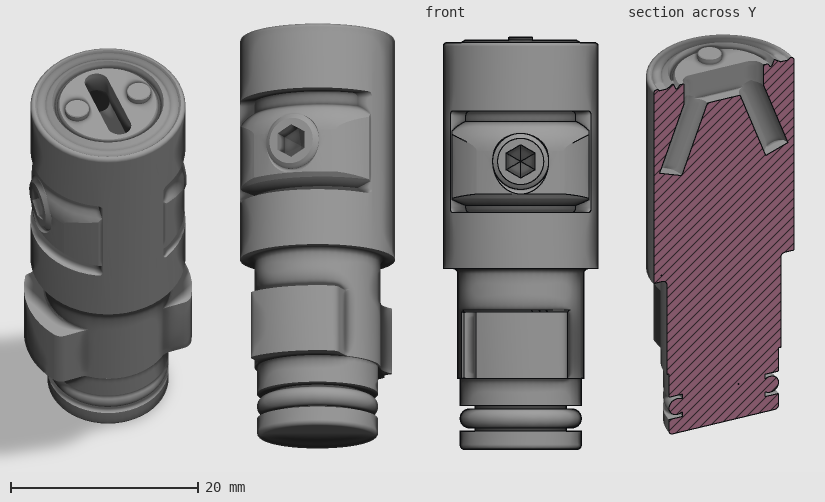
import cadquery as cq
import math

plug_radius = 6.5
plug_bottom_round = 0.5
seal_groove_bottom = 1.95
seal_groove_top = 4.67
seal_groove_radius = 4.9
seal_section_radius = 1.0
shank_radius = 6.75
shank_bottom = 7.6
shank_root_round = 0.5
body_radius = 8.3
body_bottom = 19.3
body_top = 43.5
body_top_round = 0.4

lip_inner_radius = 7.8
lip_chamfer = 0.2
cone_foot_radius = 6.7
cone_peak_radius = 5.95
cone_peak_height = 43.75
disc_groove_outer_radius = 5.65
disc_groove_inner_radius = 5.45
disc_groove_floor = 43.0
disc_chamfer = 0.25
disc_top = 43.4

overall_height = 44.1
pin_radius = 1.3
pin_chamfer = 0.1
pin_embedding = 1.32
pin_spacing = 7.05
slot_width = 2.55
slot_length = 9.35
slot_depth = 3.1
hole_diameter = 2.75
hole_tilt = 20.0
hole_depth = 8.8

window_bottom = 25.3
front_window_top = 36.15
back_window_top = 36.43
window_wall = 3.5
window_round = 0.5
pad_reach = 8.05
pad_radius = 9.53
pad_width = 14.65
pad_bevel_bottom = 26.05
pad_bevel_height = 26.8
pad_bevel_radius = 9.05
pad_face_bottom = 27.3
pad_face_top = 31.9
pad_shoulder_round = 3.65
pad_neck_radius = 7.67

screw_height = 30.8
screw_radius = 3.0
screw_chamfer_width = 0.55
screw_chamfer_depth = 0.45
screw_length = 4.4
countersink_radius = 3.5
socket_width = 3.1
socket_depth = 2.2
socket_tip_depth = 0.9
socket_point_width = 0.02

lug_top = 14.7
lug_radius = 9.0
lug_half_width = 5.0
lug_round = 1.2
lug_top_round = 0.2
nose_root = (-6.17, -2.75)
nose_root_middle = (-5.95, -4.15)
nose_tip = (-6.25, -5.55)
nose_tip_middle = (-6.3, -5.9)
nose_step_start = (-6.05, -6.17)
nose_step_middle = (-5.25, -6.5)
nose_step_end = (-4.95, -7.15)
nose_corner_middle = (-4.75, -7.65)
nose_corner_x = -4.35


def turned_body():
    """Revolved body with the seal groove and the rings of the top face."""
    lip_floor_radius = lip_inner_radius - lip_chamfer
    lip_floor = body_top - lip_chamfer
    profile = (
        cq.Workplane("XZ")
        .lineTo(plug_radius - plug_bottom_round, 0)
        .tangentArcPoint((plug_radius, plug_bottom_round), relative=False)
        .lineTo(plug_radius, seal_groove_bottom)
        .lineTo(seal_groove_radius, seal_groove_bottom)
        .lineTo(seal_groove_radius, seal_groove_top)
        .lineTo(plug_radius, seal_groove_top)
        .lineTo(plug_radius, shank_bottom)
        .lineTo(shank_radius, shank_bottom)
        .lineTo(shank_radius, body_bottom - shank_root_round)
        .tangentArcPoint((shank_radius + shank_root_round, body_bottom), relative=False)
        .lineTo(body_radius, body_bottom)
        .lineTo(body_radius, body_top - body_top_round)
        .tangentArcPoint((body_radius - body_top_round, body_top), relative=False)
        .lineTo(lip_inner_radius, body_top)
        .lineTo(lip_floor_radius, lip_floor)
        .lineTo(cone_foot_radius, lip_floor)
        .lineTo(cone_peak_radius, cone_peak_height)
        .lineTo(disc_groove_outer_radius, disc_groove_floor)
        .lineTo(disc_groove_inner_radius, disc_groove_floor)
        .lineTo(disc_groove_inner_radius - disc_chamfer, disc_top)
        .lineTo(0, disc_top)
        .close()
    )
    return profile.revolve(360, (0, 0, 0), (0, 1, 0))


def seal_ring():
    """O-ring lying in the middle of the seal groove, level with the plug."""
    ring_height = (seal_groove_bottom + seal_groove_top) / 2
    ring_radius = plug_radius - seal_section_radius
    section = cq.Workplane("XZ", origin=(ring_radius, 0, ring_height)).transformed(rotate=(0, 0, 180))
    return section.circle(seal_section_radius).revolve(360, (ring_radius, 0, 0), (ring_radius, 1, 0))


def window(top):
    """Cutter on the front side: everything beyond the window wall."""
    height = top - window_bottom
    return (
        cq.Workplane("XY")
        .box(4 * body_radius, 2 * body_radius, height, centered=(True, False, False))
        .translate((0, -window_wall - 2 * body_radius, window_bottom))
        .edges("|X and >Y")
        .fillet(window_round)
    )


def clamping_pad(neck_top):
    """Front pad: an off-centre revolved block trimmed to the body cylinder."""
    axis_y = pad_radius - pad_reach
    shoulder_center = pad_radius - pad_shoulder_round
    shoulder_end = pad_face_top + math.sqrt(
        pad_shoulder_round**2 - (pad_neck_radius - shoulder_center) ** 2
    )
    shoulder_middle = pad_shoulder_round * math.sqrt(0.5)
    block = (
        cq.Workplane("XZ", origin=(0, axis_y, 0))
        .moveTo(0, window_bottom)
        .lineTo(pad_neck_radius, window_bottom)
        .lineTo(pad_neck_radius, pad_bevel_bottom)
        .lineTo(pad_bevel_radius, pad_bevel_height)
        .lineTo(pad_radius, pad_face_bottom)
        .lineTo(pad_radius, pad_face_top)
        .threePointArc(
            (shoulder_center + shoulder_middle, pad_face_top + shoulder_middle),
            (pad_neck_radius, shoulder_end),
        )
        .lineTo(pad_neck_radius, neck_top)
        .lineTo(0, neck_top)
        .close()
        .revolve(360, (0, 0, 0), (0, 1, 0))
    )
    front_half = (
        cq.Workplane("XY")
        .box(pad_width, 2 * body_radius, overall_height, centered=(True, False, False))
        .translate((0, -window_wall - 2 * body_radius, 0))
    )
    cylinder = cq.Workplane("XY").circle(body_radius).extrude(overall_height)
    return block.intersect(cylinder).intersect(front_half)


def screw_plane(distance):
    """Plane facing the front, centred on the screw at a distance from the body axis."""
    return cq.Workplane("XZ", origin=(0, -distance, screw_height))


def countersink():
    """45 degree recess around the screw head."""
    mouth = cq.Vector(0, -pad_reach, screw_height)
    inwards = cq.Vector(0, 1, 0)
    return cq.Workplane(cq.Solid.makeCone(countersink_radius, 0, countersink_radius, mouth, inwards))


def screw():
    """Screw with a chamfered head, without its socket."""
    profile = (
        cq.Workplane("XY", origin=(0, 0, screw_height))
        .moveTo(0, screw_length - pad_reach)
        .lineTo(screw_radius, screw_length - pad_reach)
        .lineTo(screw_radius, screw_chamfer_depth - pad_reach)
        .lineTo(screw_radius - screw_chamfer_width, -pad_reach)
        .lineTo(0, -pad_reach)
        .close()
    )
    return profile.revolve(360, (0, 0, 0), (0, 1, 0))


def screw_socket():
    """Hexagon socket ending in a point."""
    corner_diameter = socket_width / math.cos(math.radians(30))
    socket = screw_plane(pad_reach).transformed(rotate=(0, 0, 30))
    socket = socket.polygon(6, corner_diameter).extrude(-socket_depth)
    tip = screw_plane(pad_reach - socket_depth).transformed(rotate=(0, 0, 30))
    tip = tip.polygon(6, corner_diameter).workplane(offset=-socket_tip_depth)
    tip = tip.polygon(6, socket_point_width).loft(ruled=True)
    return socket.union(tip)


def pad_with_screw(neck_top):
    """Front pad with its screw seated in the countersink."""
    return clamping_pad(neck_top).cut(countersink()).union(screw()).cut(screw_socket())


def plain_flank(outline):
    """Continue a front lug outline from its outer arc down the plain +X flank to the shank."""
    corner_x = lug_half_width - lug_round
    corner_y = math.sqrt((lug_radius - lug_round) ** 2 - corner_x**2)
    root_x = lug_half_width + lug_round
    root_y = math.sqrt((shank_radius + lug_round) ** 2 - root_x**2)
    root_scale = shank_radius / (shank_radius + lug_round)
    return (
        outline
        .tangentArcPoint((lug_half_width, -corner_y), relative=False)
        .lineTo(lug_half_width, -root_y)
        .tangentArcPoint((root_x * root_scale, -root_y * root_scale), relative=False)
    )


def outer_corner_x():
    """X where the rounded corner of a plain flank meets the outer arc of the lug."""
    return (lug_half_width - lug_round) * lug_radius / (lug_radius - lug_round)


def on_lug_arc(x):
    """Point of the front outer arc at a given x."""
    return (x, -math.sqrt(lug_radius**2 - x**2))


def lug_top_fillet(outline):
    """Fillet between the shank and the top of a lug, as wide as the lug outline."""
    ring = (
        cq.Workplane("XZ")
        .moveTo(0, lug_top)
        .lineTo(shank_radius + lug_top_round, lug_top)
        .threePointArc(
            (
                shank_radius + lug_top_round * (1 - math.sqrt(0.5)),
                lug_top + lug_top_round * (1 - math.sqrt(0.5)),
            ),
            (shank_radius, lug_top + lug_top_round),
        )
        .lineTo(0, lug_top + lug_top_round)
        .close()
        .revolve(360, (0, 0, 0), (0, 1, 0))
    )
    return ring.intersect(outline)


def extruded_lug(outline):
    """Lug of a closed outline, blended into the shank at its top."""
    tall = outline.extrude(lug_top + lug_top_round - shank_bottom)
    flat_top = cq.Workplane("XY").circle(lug_radius).extrude(lug_top)
    return tall.intersect(flat_top).union(lug_top_fillet(tall))


def back_lug():
    """Symmetric lug, drawn at the front and turned to the back."""
    half = cq.Workplane("XY", origin=(0, 0, shank_bottom)).moveTo(0, -lug_radius)
    half = half.threePointArc(on_lug_arc(outer_corner_x() / 2), on_lug_arc(outer_corner_x()))
    half = extruded_lug(plain_flank(half).lineTo(0, 0).close())
    return half.union(half.mirror("YZ")).rotate((0, 0, 0), (0, 0, 1), 180)


def front_lug():
    """Front lug with one plain flank (+X) and a stepped nose (-X)."""
    outline = (
        cq.Workplane("XY", origin=(0, 0, shank_bottom))
        .lineTo(*nose_root)
        .threePointArc(nose_root_middle, nose_tip)
        .threePointArc(nose_tip_middle, nose_step_start)
        .threePointArc(nose_step_middle, nose_step_end)
        .threePointArc(nose_corner_middle, on_lug_arc(nose_corner_x))
        .threePointArc((0, -lug_radius), on_lug_arc(outer_corner_x()))
    )
    return extruded_lug(plain_flank(outline).close())


def slot_and_holes():
    """Slot across the top disc with a hole at each end, tilted outwards going down."""
    slot_floor = disc_top - slot_depth
    cutter = (
        cq.Workplane("XY", origin=(0, 0, slot_floor))
        .slot2D(slot_length, slot_width)
        .extrude(slot_depth)
    )
    hole_rise = hole_diameter / 2 * math.tan(math.radians(hole_tilt))
    hole_x = (slot_length - slot_width) / 2
    for side in (-1, 1):
        hole = (
            cq.Workplane("XY")
            .circle(hole_diameter / 2)
            .extrude(-hole_depth)
            .translate((0, 0, hole_rise))
            .rotate((0, 0, 0), (0, 1, 0), -side * hole_tilt)
            .translate((side * hole_x, 0, slot_floor))
        )
        cutter = cutter.union(hole)
    return cutter


def pins():
    """Two pins standing on the disc, in front of and behind the slot."""
    return (
        cq.Workplane("XY", origin=(0, 0, disc_top - pin_embedding))
        .pushPoints([(0, -pin_spacing / 2), (0, pin_spacing / 2)])
        .circle(pin_radius)
        .extrude(overall_height - disc_top + pin_embedding)
        .faces(">Z")
        .chamfer(pin_chamfer)
    )


def to_back(shape):
    """Turn a front feature half a turn about the body axis."""
    return shape.rotate((0, 0, 0), (0, 0, 1), 180)


body = turned_body().union(seal_ring())
body = body.cut(window(front_window_top)).cut(to_back(window(back_window_top)))

front_pad = pad_with_screw(front_window_top)
back_pad = pad_with_screw(back_window_top)
body = body.union(front_pad).union(to_back(back_pad))

body = body.union(front_lug()).union(back_lug())
result = body.cut(slot_and_holes()).union(pins())